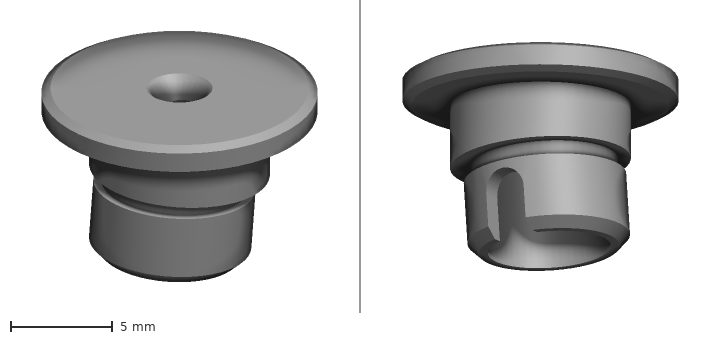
import cadquery as cq
import math

flange_diameter = 13.59
flange_thickness = 1.5
flange_chamfer_width = 0.45
flange_chamfer_height = 0.25
boss_diameter = 8.89
hole_diameter = 1.26
countersink_diameter = 3.23
countersink_angle = 90.0

tilt_angle = 4.0
bore_diameter = 6.07
neck_diameter = 7.25
sleeve_diameter = 8.0
neck_top = 2.95
shoulder = 3.75
sleeve_bottom = 7.43
rim_chamfer = 0.53

slot_width = 2.17
slot_top = 4.16


def lean(body):
    """Turn a body about X so that its lower end swings toward -Y."""
    return body.rotate((0, 0, 0), (1, 0, 0), -tilt_angle)


def make_countersink():
    """Upright cone, point down, widest at the top face of the flange."""
    radius = countersink_diameter / 2
    depth = radius / math.tan(math.radians(countersink_angle / 2))
    return (
        cq.Workplane("XZ")
        .moveTo(0, flange_thickness)
        .lineTo(radius, flange_thickness)
        .lineTo(0, flange_thickness - depth)
        .close()
        .revolve(360, (0, 0, 0), (0, 1, 0))
    )


def make_cap_bore():
    """Leaning bore in line with the sleeve, with a small hole up into the countersink."""
    bore = cq.Workplane("XY").circle(bore_diameter / 2).extrude(-sleeve_bottom)
    hole_height = flange_thickness - hole_diameter / 2
    hole = cq.Workplane("XY").circle(hole_diameter / 2).extrude(hole_height)
    return lean(bore.union(hole))


def make_cap():
    rim_radius = flange_diameter / 2
    face_radius = rim_radius - flange_chamfer_width
    flange = (
        cq.Workplane("XZ")
        .moveTo(0, 0)
        .lineTo(face_radius, 0)
        .lineTo(rim_radius, flange_chamfer_height)
        .lineTo(rim_radius, flange_thickness - flange_chamfer_height)
        .lineTo(face_radius, flange_thickness)
        .lineTo(0, flange_thickness)
        .close()
        .revolve(360, (0, 0, 0), (0, 1, 0))
    )

    boss_blank_length = neck_top + boss_diameter / 2
    boss = cq.Workplane("XY").circle(boss_diameter / 2).extrude(-boss_blank_length)
    below_sleeve_top = (
        cq.Workplane("XY")
        .workplane(offset=-neck_top)
        .rect(2 * boss_diameter, 2 * boss_diameter)
        .extrude(-boss_blank_length)
    )
    boss = boss.cut(lean(below_sleeve_top))

    return flange.union(boss).cut(make_countersink()).cut(make_cap_bore())


def make_slot_cutter():
    """Upright slot shape, running from the sleeve axis out through the -X wall."""
    half_width = slot_width / 2
    arc_center = -slot_top - half_width
    return (
        cq.Workplane("YZ")
        .moveTo(-half_width, -sleeve_bottom)
        .lineTo(-half_width, arc_center)
        .threePointArc((0, -slot_top), (half_width, arc_center))
        .lineTo(half_width, -sleeve_bottom)
        .close()
        .extrude(-sleeve_diameter)
    )


def make_sleeve():
    bore_radius = bore_diameter / 2
    neck_radius = neck_diameter / 2
    outer_radius = sleeve_diameter / 2
    tube = (
        cq.Workplane("XZ")
        .moveTo(bore_radius, -neck_top)
        .lineTo(neck_radius, -neck_top)
        .lineTo(neck_radius, -shoulder)
        .lineTo(outer_radius, -shoulder)
        .lineTo(outer_radius, -sleeve_bottom + rim_chamfer)
        .lineTo(outer_radius - rim_chamfer, -sleeve_bottom)
        .lineTo(bore_radius, -sleeve_bottom)
        .close()
        .revolve(360, (0, 0, 0), (0, 1, 0))
    )
    return lean(tube.cut(make_slot_cutter()))


cap = make_cap().solids()
sleeve = make_sleeve().solids()

result = cq.Compound.makeCompound([cap.val(), sleeve.val()])